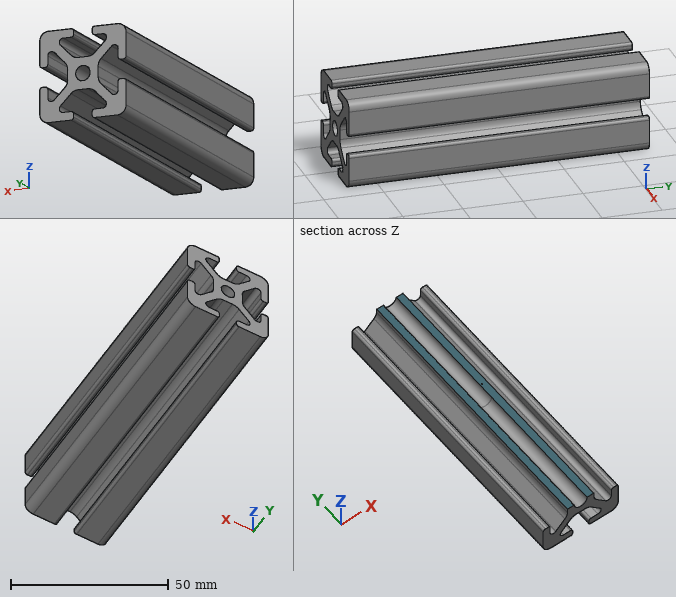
import cadquery as cq

length = 100.0
side = 30.0
corner_radius = 3.0
bore_diameter = 5.0

slot_width = 6.4
lip_thickness = 2.8
lip_radius = 0.9
hub_width = 10.6
web_thickness = 3.1
cavity_radius = 1.3
hub_radius = 3.5

half_side = side / 2
half_slot = slot_width / 2
half_hub = hub_width / 2
lip_inner = half_side - lip_thickness
web_offset = web_thickness / 2 ** 0.5
cavity_half_width = lip_inner - web_offset
floor_half_width = half_hub - web_offset


def edges_at(body, points):
    """Select the lengthwise edges through the given (x, z) profile points."""
    selected = body.edges("|Y")
    margin = 0.01
    picks = [
        edge for edge in selected.vals()
        if any(abs(edge.Center().x - x) < margin and abs(edge.Center().z - z) < margin
               for x, z in points)
    ]
    return body.newObject(picks)


def mirrored(x, z):
    """Profile point and its mirror image across the slot centre plane."""
    return [(x, z), (-x, z)]


def square_bar():
    bar = cq.Workplane("XZ").rect(side, side).extrude(length / 2, both=True)
    return bar.edges("|Y").fillet(corner_radius)


def slot_cutter():
    """Upward T-slot: narrow mouth, wide cavity and sides sloping to the hub."""
    cavity = (
        cq.Workplane("XZ")
        .polyline([
            (-half_slot, half_side),
            (-half_slot, lip_inner),
            (-cavity_half_width, lip_inner),
            (-floor_half_width, half_hub),
            (floor_half_width, half_hub),
            (cavity_half_width, lip_inner),
            (half_slot, lip_inner),
            (half_slot, half_side),
        ])
        .close()
        .extrude(length / 2, both=True)
    )
    cavity = edges_at(cavity, mirrored(cavity_half_width, lip_inner)).fillet(cavity_radius)
    return edges_at(cavity, mirrored(floor_half_width, half_hub)).fillet(hub_radius)


def cut_slots(body):
    cutter = slot_cutter()
    for angle in (0, 90, 180, 270):
        body = body.cut(cutter.rotate((0, 0, 0), (0, 1, 0), angle))
    return body


def round_lips(body):
    """Round both corners of every slot lip."""
    corners = []
    for depth in (half_side, lip_inner):
        for sign in (1, -1):
            corners += mirrored(half_slot, sign * depth)
            corners += [(sign * depth, half_slot), (sign * depth, -half_slot)]
    return edges_at(body, corners).fillet(lip_radius)


profile = round_lips(cut_slots(square_bar()))
bore = cq.Workplane("XZ").circle(bore_diameter / 2).extrude(length / 2, both=True)
result = profile.cut(bore)